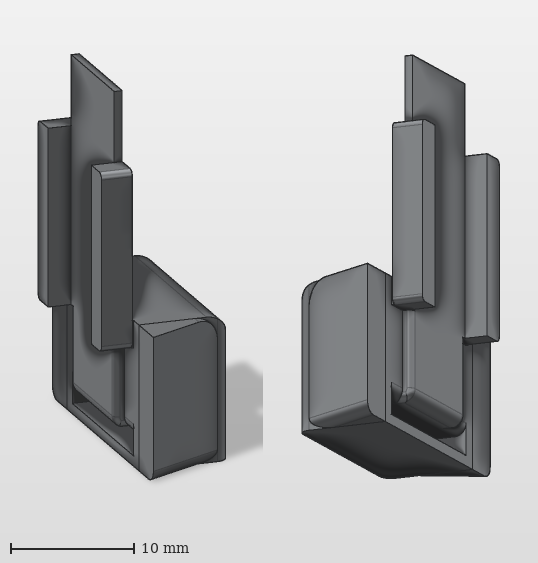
import cadquery as cq

HOUSING_HALF_WIDTH = 8.5
HOUSING_DEPTH = 7.8
HOUSING_HEIGHT = 12.47
TOP_BACK_RADIUS = 1.95
CORNER_RADIUS = 1.0

WING_TIP_X = 11.97
WING_DEPTH = HOUSING_DEPTH - CORNER_RADIUS

SLOT_HALF_WIDTH = 7.25
SLOT_BOTTOM = 0.88
SLOT_TOP = 2.55
LIP_RADIUS = 1.05

TONGUE_HALF_WIDTH = 5.1
TONGUE_FRONT = -0.88
TONGUE_TOP = 31.5
TONGUE_EDGE_RADIUS = 0.5
TONGUE_CORNER_RADIUS = 0.72

PAD_THICKNESS = 0.2

RAIL_OUTER_X = 7.53
RAIL_FRONT = -2.87
RAIL_BOTTOM = 10.1
RAIL_TOP = 25.42
RAIL_RADIUS = 0.55


def block(x_min, x_max, y_min, y_max, z_min, z_max):
    """Rectangular block given by its limits on each axis."""
    size = (x_max - x_min, y_max - y_min, z_max - z_min)
    return cq.Workplane("XY").box(*size, centered=False).translate((x_min, y_min, z_min))


def make_shell():
    """Central housing block with rounded back edges and a strap slot through it."""
    shell = block(-HOUSING_HALF_WIDTH, HOUSING_HALF_WIDTH, 0, HOUSING_DEPTH, 0, HOUSING_HEIGHT)
    rounded_back = shell.edges(">Y and |Z").fillet(CORNER_RADIUS)
    rounded_top = shell.edges(">Y and >Z").fillet(TOP_BACK_RADIUS)
    slot = block(-SLOT_HALF_WIDTH, SLOT_HALF_WIDTH, 0, HOUSING_DEPTH, SLOT_BOTTOM, SLOT_TOP)
    lip = (
        cq.Workplane("YZ", origin=(-SLOT_HALF_WIDTH, 0, 0))
        .moveTo(0, SLOT_TOP)
        .lineTo(0, SLOT_TOP + LIP_RADIUS)
        .radiusArc((LIP_RADIUS, SLOT_TOP), -LIP_RADIUS)
        .close()
        .extrude(2 * SLOT_HALF_WIDTH)
    )
    return rounded_back.intersect(rounded_top).cut(slot).cut(lip)


def make_lower_tongue():
    """Tongue portion on the housing front, curling into the slot lip at its lower end."""
    lower = block(
        -TONGUE_HALF_WIDTH, TONGUE_HALF_WIDTH, TONGUE_FRONT, LIP_RADIUS, SLOT_TOP, RAIL_BOTTOM
    )
    rounded_front = (
        lower.edges("<Y and <Z").fillet(LIP_RADIUS)
        .faces("<Y").edges("|Z").fillet(TONGUE_EDGE_RADIUS)
    )
    rounded_corners = lower.edges("<Z and |Y").fillet(TONGUE_CORNER_RADIUS)
    return rounded_front.intersect(rounded_corners)


def make_upper_tongue():
    """Thin square-edged plate standing up between the rails."""
    return block(
        -TONGUE_HALF_WIDTH, TONGUE_HALF_WIDTH, TONGUE_FRONT, -PAD_THICKNESS, RAIL_BOTTOM, TONGUE_TOP
    )


def make_pad():
    """Low pad joining the rails and the plate to the housing front."""
    return block(-SLOT_HALF_WIDTH, SLOT_HALF_WIDTH, -PAD_THICKNESS, 0, RAIL_BOTTOM, HOUSING_HEIGHT)


def make_rail(side):
    """Guide rail beside the plate, rounded at its outer corners; side is -1 or 1."""
    inner, outer = sorted((side * TONGUE_HALF_WIDTH, side * RAIL_OUTER_X))
    rail = block(inner, outer, RAIL_FRONT, -PAD_THICKNESS, RAIL_BOTTOM, RAIL_TOP)
    outer_face = ">X" if side > 0 else "<X"
    return rail.faces(outer_face).edges("|Y").fillet(RAIL_RADIUS)


def make_housing():
    """Housing with its tongue, pad and pair of guide rails, all one body."""
    housing = make_shell().union(make_lower_tongue()).union(make_pad()).union(make_upper_tongue())
    for side in (-1, 1):
        housing = housing.union(make_rail(side))
    return housing


def make_wing(side):
    """Wedge on one side of the housing; side is -1 or 1."""
    wedge = (
        cq.Workplane("XY")
        .polyline([
            (side * HOUSING_HALF_WIDTH, 0),
            (side * WING_TIP_X, 0),
            (side * HOUSING_HALF_WIDTH, WING_DEPTH),
        ])
        .close()
        .extrude(HOUSING_HEIGHT)
    )
    sloped_bottom_edge = cq.selectors.NearestToPointSelector(
        (side * (HOUSING_HALF_WIDTH + WING_TIP_X) / 2, WING_DEPTH / 2, 0)
    )
    rounded_bottom = wedge.edges(sloped_bottom_edge).fillet(CORNER_RADIUS)
    rounded_top = (
        block(-WING_TIP_X, WING_TIP_X, 0, WING_DEPTH, 0, HOUSING_HEIGHT)
        .edges(">Y and >Z").fillet(TOP_BACK_RADIUS)
    )
    return rounded_bottom.intersect(rounded_top)


housing = make_housing()
wings = [make_wing(side) for side in (-1, 1)]

result = cq.Compound.makeCompound([housing.val(), *[wing.val() for wing in wings]])